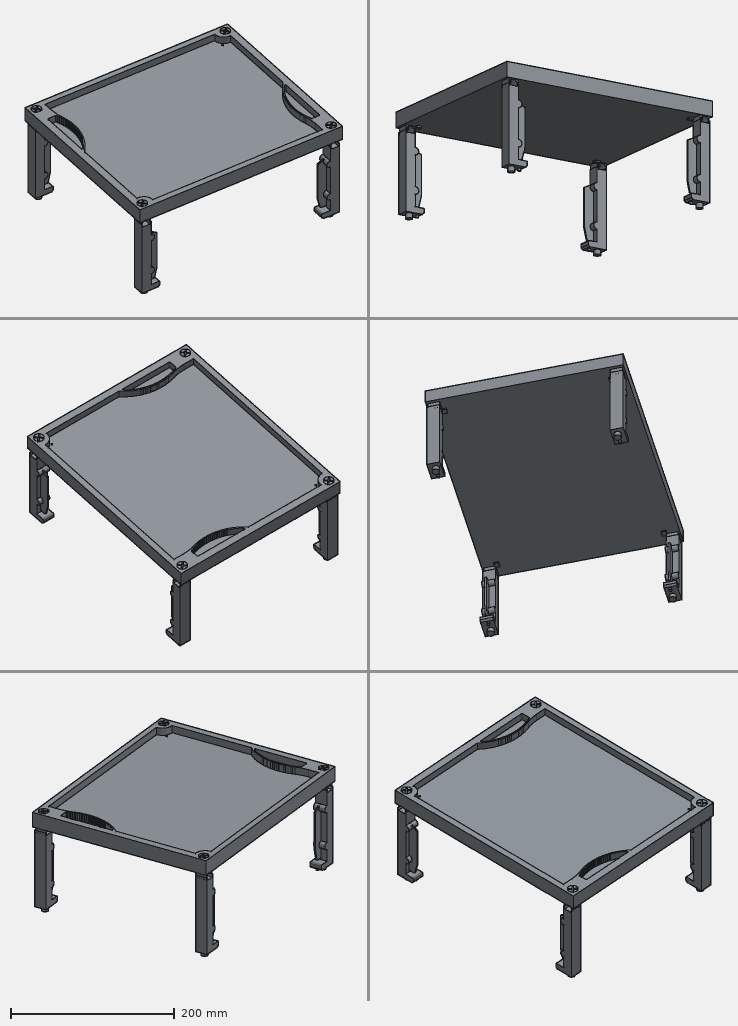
import cadquery as cq
import math


TRAY_X = 250.0
TRAY_Y = 300.0
TRAY_Z = 20.0
POCKET_DEPTH = 10.0
FLOOR_Z = TRAY_Z - POCKET_DEPTH
POCKET_INSET_X = 8.5
POCKET_INSET_Y = 10.2
SHOULDER_INSET_Y = 24.3
LAND_RADIUS = 12.5
LAND_INSET_X = 9.0
LAND_INSET_Y = 12.0
DOWEL_INSET_X = 21.0
DOWEL_INSET_Y = 21.5
DOWEL_HOLE_RADIUS = 1.2

BULGE_RADIUS = 75.0
BULGE_PEAK_INSET_X = 63.0
BULGE_PEAK_INSET_Y = 30.3
BULGE_WALL = 2.0
BULGE_BLEND_RADIUS = 60.0
RECESS_NEAR_INSET_X = 34.2
RECESS_FAR_INSET_X = 108.3
RECESS_CORNER_RADIUS = 1.8
GRIP_GROOVE_WIDTH = 0.75
GRIP_GROOVE_DEPTH = 0.45
GRIP_GROOVE_PITCH = 3.0
GRIP_GROOVES_PER_SIDE = 9

SCREW_INSET_X = 10.0
SCREW_INSET_Y = 10.2
SCREW_HEAD_RADIUS = 6.5
SCREW_HEAD_HEIGHT = 6.0
SCREW_SHANK_RADIUS = 1.5
SCREW_TIP_Z = -3.0
DRIVE_SLOT_WIDTH = 1.8
DRIVE_SLOT_DEPTH = 1.8

TOTAL_Z = 137.0
LEG_X = 16.5
LEG_OUTER_INSET_X = 1.0
LEG_OUTER_INSET_Y = 3.5
LEG_INNER_INSET_Y = 17.5
PEG_HEIGHT = 6.3
LEG_BOTTOM_Z = TRAY_Z - TOTAL_Z + PEG_HEIGHT
PEG_RADIUS = 4.5
PEG_INSET_X = 10.2
PEG_INSET_Y = 12.5
STUD_HEIGHT = 3.0
STUD_RADIUS = 1.8
STUD_INSET_Y = 24.5

NECK_HEIGHT = 5.7
NECK_STEP_X = 1.2
NECK_STEP_Y = 0.15
WINDOW_RADIUS = 5.7
WINDOW_AXIS_Z = -6.3
WINDOW_FLOOR_Z = -9.0
EAR_THICKNESS = 2.0
EAR_OVERLAP = 1.2
EAR_MARGIN = 1.5

TOE_INSET_Y = 30.3
TOE_HEIGHT = 8.0
TOE_CHAMFER = 2.5
TOE_FILLET = 1.5

ROLL_RADIUS = 4.8
UPPER_ROLL_Z = -31.2
LOWER_ROLL_Z = -81.5
FIN_THICKNESS = 2.0
FIN_OUTER_OFFSET_X = 6.0
FIN_INNER_OFFSET_X = LEG_X - FIN_OUTER_OFFSET_X - FIN_THICKNESS
FIN_TOP_Z = -26.0
FIN_SHOULDER_Z = -32.5
FIN_TAPER_Z = -84.0
FIN_FOOT_INSET_Y = 26.7
FIN_FOOT_CHAMFER = 1.2
FIN_BOTTOM_Z = -100.2

EDGE_X = TRAY_X / 2
EDGE_Y = TRAY_Y / 2
SCREW_X = EDGE_X - SCREW_INSET_X
SCREW_Y = EDGE_Y - SCREW_INSET_Y
BULGE_CENTRE_X = -EDGE_X + BULGE_PEAK_INSET_X
BULGE_CENTRE_Y = -EDGE_Y + BULGE_PEAK_INSET_Y - BULGE_RADIUS
CORNERS = [(sx, sy) for sx in (-1, 1) for sy in (-1, 1)]


def block(x0, x1, y0, y1, z0, z1):
    """Box between two opposite corners."""
    return cq.Workplane("XY").box(x1 - x0, y1 - y0, z1 - z0, centered=False).translate((x0, y0, z0))


def cylinder(x, y, radius, z0, z1):
    """Upright cylinder."""
    return cq.Workplane("XY", origin=(x, y, z0)).circle(radius).extrude(z1 - z0)


def half_turn(shape):
    """Copy of a shape turned half a turn about the Z axis."""
    return shape.rotate((0, 0, 0), (0, 0, 1), 180)


def bulge_disc(radius):
    """Disc about the bulge's centre near the -X, -Y corner."""
    return cylinder(BULGE_CENTRE_X, BULGE_CENTRE_Y, radius, FLOOR_Z, TRAY_Z)


def pocket_end_fill():
    """Material left standing in the -Y end of the pocket: shoulder, bulge and round land."""
    shoulder_y = -EDGE_Y + SHOULDER_INSET_Y
    shoulder = block(-EDGE_X, BULGE_CENTRE_X, -EDGE_Y, shoulder_y, FLOOR_Z, TRAY_Z)
    meeting_x = BULGE_CENTRE_X - math.sqrt(BULGE_RADIUS**2 - (shoulder_y - BULGE_CENTRE_Y) ** 2)
    meeting_edge = cq.selectors.NearestToPointSelector((meeting_x, shoulder_y, (FLOOR_Z + TRAY_Z) / 2))
    bulged_end = shoulder.union(bulge_disc(BULGE_RADIUS)).edges(meeting_edge).fillet(BULGE_BLEND_RADIUS)
    land = cylinder(EDGE_X - LAND_INSET_X, -EDGE_Y + LAND_INSET_Y, LAND_RADIUS, FLOOR_Z, TRAY_Z)
    return bulged_end.union(land)


def finger_recess():
    """Recess bounded by straight walls and the grooved inner arc of the bulging wall."""
    strip = block(
        -EDGE_X + RECESS_NEAR_INSET_X,
        -EDGE_X + RECESS_FAR_INSET_X,
        -EDGE_Y + POCKET_INSET_Y,
        -EDGE_Y + BULGE_PEAK_INSET_Y,
        FLOOR_Z,
        TRAY_Z,
    )
    strip = strip.edges("|Z").edges("<X and <Y").fillet(RECESS_CORNER_RADIUS)
    inner_radius = BULGE_RADIUS - BULGE_WALL
    recess = strip.intersect(bulge_disc(inner_radius))
    for number in range(-GRIP_GROOVES_PER_SIDE, GRIP_GROOVES_PER_SIDE + 1):
        offset_x = number * GRIP_GROOVE_PITCH
        wall_y = BULGE_CENTRE_Y + math.sqrt(inner_radius**2 - offset_x**2)
        groove = block(
            BULGE_CENTRE_X + offset_x - GRIP_GROOVE_WIDTH / 2,
            BULGE_CENTRE_X + offset_x + GRIP_GROOVE_WIDTH / 2,
            wall_y - GRIP_GROOVE_DEPTH,
            wall_y + GRIP_GROOVE_DEPTH,
            FLOOR_Z,
            TRAY_Z,
        )
        recess = recess.union(groove)
    return recess


def make_tray():
    """Shallow tray, the same after half a turn about Z."""
    pocket_x = EDGE_X - POCKET_INSET_X
    pocket_y = EDGE_Y - POCKET_INSET_Y
    pocket = block(-pocket_x, pocket_x, -pocket_y, pocket_y, FLOOR_Z, TRAY_Z)
    fill = pocket_end_fill()
    recess = finger_recess()
    dowel_hole = cylinder(EDGE_X - DOWEL_INSET_X, -EDGE_Y + DOWEL_INSET_Y, DOWEL_HOLE_RADIUS, 0, FLOOR_Z)

    tray = block(-EDGE_X, EDGE_X, -EDGE_Y, EDGE_Y, 0, TRAY_Z)
    tray = tray.cut(pocket.cut(fill).cut(half_turn(fill)))
    for cutter in (recess, dowel_hole):
        tray = tray.cut(cutter).cut(half_turn(cutter))
    for sx, sy in CORNERS:
        tray = tray.cut(screw_envelope(sx * SCREW_X, sy * SCREW_Y))
    return tray


def screw_envelope(x, y):
    """Head and shank of a screw, without its drive."""
    head = cylinder(x, y, SCREW_HEAD_RADIUS, TRAY_Z - SCREW_HEAD_HEIGHT, TRAY_Z)
    return head.union(cylinder(x, y, SCREW_SHANK_RADIUS, SCREW_TIP_Z, TRAY_Z))


def make_screw(x, y):
    """Flush screw with a diagonal cross drive that runs out to the rim."""
    screw = screw_envelope(x, y)
    for angle in (45, 135):
        slot = (
            cq.Workplane("XY")
            .box(2 * SCREW_HEAD_RADIUS, DRIVE_SLOT_WIDTH, DRIVE_SLOT_DEPTH, centered=(True, True, False))
            .rotate((0, 0, 0), (0, 0, 1), angle)
            .translate((x, y, TRAY_Z - DRIVE_SLOT_DEPTH))
        )
        screw = screw.cut(slot)
    return screw


LEG_X0 = -EDGE_X + LEG_OUTER_INSET_X
LEG_X1 = LEG_X0 + LEG_X
LEG_Y0 = -EDGE_Y + LEG_OUTER_INSET_Y
LEG_Y1 = -EDGE_Y + LEG_INNER_INSET_Y


def across_leg(profile, x0, x1):
    """Extrude a closed YZ outline along X between two X positions."""
    return cq.Workplane("YZ", origin=(x0, 0, 0)).polyline(profile).close().extrude(x1 - x0)


def roll(z):
    """Half-round roll over the full leg width."""
    return cq.Workplane("YZ", origin=(LEG_X0, LEG_Y1, z)).circle(ROLL_RADIUS).extrude(LEG_X)


def leg_post():
    """Post with a slimmer neck and a toe that points inward."""
    toe_y = -EDGE_Y + TOE_INSET_Y
    post = block(LEG_X0, LEG_X1, LEG_Y0, LEG_Y1, LEG_BOTTOM_Z, -NECK_HEIGHT)
    neck = block(LEG_X0 + NECK_STEP_X, LEG_X1, LEG_Y0 + NECK_STEP_Y, LEG_Y1 - NECK_STEP_Y, -NECK_HEIGHT, 0)
    toe = block(LEG_X0, LEG_X1, LEG_Y0, toe_y, LEG_BOTTOM_Z, LEG_BOTTOM_Z + TOE_HEIGHT)
    toe = toe.faces(">Y").edges("<Z").chamfer(TOE_CHAMFER)
    toe = toe.faces(">Y").edges(">Z").fillet(TOE_FILLET)
    return post.union(neck).union(toe)


def leg_fin(offset_x):
    """Thin fin on the inner face, tapered at both ends."""
    fin_y = -EDGE_Y + TOE_INSET_Y
    foot_y = -EDGE_Y + FIN_FOOT_INSET_Y
    outline = [
        (LEG_Y1, FIN_TOP_Z),
        (fin_y, FIN_SHOULDER_Z),
        (fin_y, FIN_TAPER_Z),
        (foot_y, FIN_BOTTOM_Z + FIN_FOOT_CHAMFER),
        (foot_y - FIN_FOOT_CHAMFER, FIN_BOTTOM_Z),
        (LEG_Y1, FIN_BOTTOM_Z),
    ]
    fin_x = LEG_X0 + offset_x
    return across_leg(outline, fin_x, fin_x + FIN_THICKNESS)


def leg_window():
    """Arched opening with a flat floor, through the leg along X."""
    round_bore = cq.Workplane("YZ", origin=(LEG_X0, -SCREW_Y, WINDOW_AXIS_Z)).circle(WINDOW_RADIUS).extrude(LEG_X)
    below_floor = block(LEG_X0, LEG_X1, LEG_Y0, LEG_Y1, LEG_BOTTOM_Z, WINDOW_FLOOR_Z)
    return round_bore.cut(below_floor)


def make_leg(fin_offset_x):
    """Leg for the -X, -Y corner."""
    ear_x = -EDGE_X + DOWEL_INSET_X + EAR_MARGIN
    ear_y = -EDGE_Y + DOWEL_INSET_Y + EAR_MARGIN
    ear = block(LEG_X1 - EAR_OVERLAP, ear_x, LEG_Y1 - EAR_OVERLAP, ear_y, -EAR_THICKNESS, 0)
    foot_x = -EDGE_X + PEG_INSET_X
    peg = cylinder(foot_x, -EDGE_Y + PEG_INSET_Y, PEG_RADIUS, LEG_BOTTOM_Z - PEG_HEIGHT, LEG_BOTTOM_Z)
    stud = cylinder(foot_x, -EDGE_Y + STUD_INSET_Y, STUD_RADIUS, LEG_BOTTOM_Z - STUD_HEIGHT, LEG_BOTTOM_Z)

    leg = leg_post()
    for feature in (ear, leg_fin(fin_offset_x), roll(UPPER_ROLL_Z), roll(LOWER_ROLL_Z), peg, stud):
        leg = leg.union(feature)
    return leg.cut(leg_window()).cut(screw_envelope(-SCREW_X, -SCREW_Y))


def leg_at(sx, sy):
    """Leg at the corner with the given signs; the two diagonals differ in where the fin stands."""
    leg = make_leg(FIN_INNER_OFFSET_X if sx == sy else FIN_OUTER_OFFSET_X)
    if sx > 0:
        leg = leg.mirror("YZ")
    if sy > 0:
        leg = leg.mirror("XZ")
    return leg


tray = make_tray()
screws = [make_screw(sx * SCREW_X, sy * SCREW_Y) for sx, sy in CORNERS]
legs = [leg_at(sx, sy) for sx, sy in CORNERS]

result = cq.Compound.makeCompound([body.val() for body in [tray, *screws, *legs]])